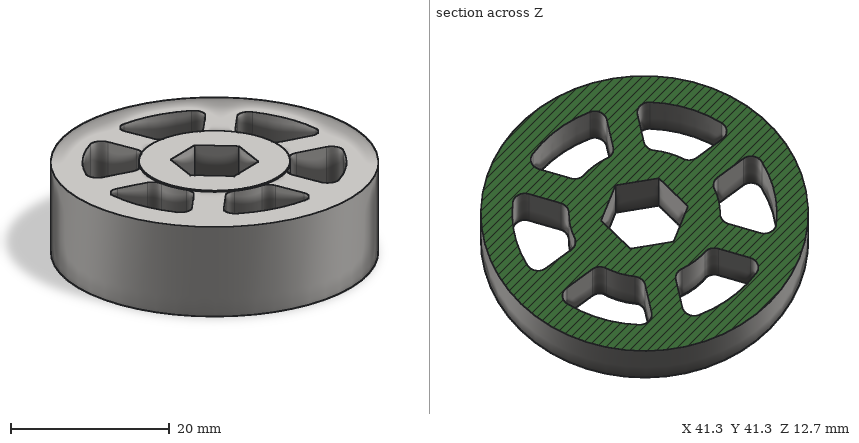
import cadquery as cq
import math

wheel_diameter = 41.275
wheel_radius = wheel_diameter / 2
total_height = 12.7
face_step = 0.2
body_height = total_height - 2 * face_step
hub_diameter = 19.05

hex_sides = 6
hex_half_angle = 180 / hex_sides
hex_across_flats = 9.6
hex_across_corners = hex_across_flats / math.cos(math.radians(hex_half_angle))

window_count = 6
window_pitch = 360 / window_count
spoke_width = 4.0
rim_thickness = 4.0
window_outer_radius = wheel_radius - rim_thickness
window_hub_ledge = 0.03
window_inner_radius = hub_diameter / 2 + window_hub_ledge
window_corner_radius = 1.5


def cylinder(diameter, height):
    """Solid cylinder on the Z axis, centred on the mid plane."""
    return cq.Workplane("XY").workplane(offset=-height / 2).circle(diameter / 2).extrude(height)


def window_corner(radius, side):
    """Point at the given radius on the spoke edge; side is -1 or +1 across the X axis."""
    angle = window_pitch / 2 - math.degrees(math.asin(spoke_width / 2 / radius))
    return (
        radius * math.cos(math.radians(angle)),
        side * radius * math.sin(math.radians(angle)),
    )


def window():
    """Rounded sector between two spokes, centred on the +X axis."""
    return (
        cq.Workplane("XY")
        .moveTo(*window_corner(window_inner_radius, -1))
        .lineTo(*window_corner(window_outer_radius, -1))
        .threePointArc((window_outer_radius, 0), window_corner(window_outer_radius, 1))
        .lineTo(*window_corner(window_inner_radius, 1))
        .threePointArc((window_inner_radius, 0), window_corner(window_inner_radius, -1))
        .close()
        .extrude(total_height, both=True)
        .edges("|Z")
        .fillet(window_corner_radius)
    )


def hex_bore():
    """Through bore with corners on the Y axis."""
    return (
        cq.Workplane("XY")
        .polygon(hex_sides, hex_across_corners)
        .extrude(total_height, both=True)
        .rotate((0, 0, 0), (0, 0, 1), hex_half_angle)
    )


def slotted_body():
    """Wheel disc with the ring of windows cut through it."""
    body = cylinder(wheel_diameter, body_height)
    for index in range(window_count):
        angle = window_pitch * (index + 0.5)
        body = body.cut(window().rotate((0, 0, 0), (0, 0, 1), angle))
    return body


hub = cylinder(hub_diameter, total_height)
result = slotted_body().union(hub).cut(hex_bore())